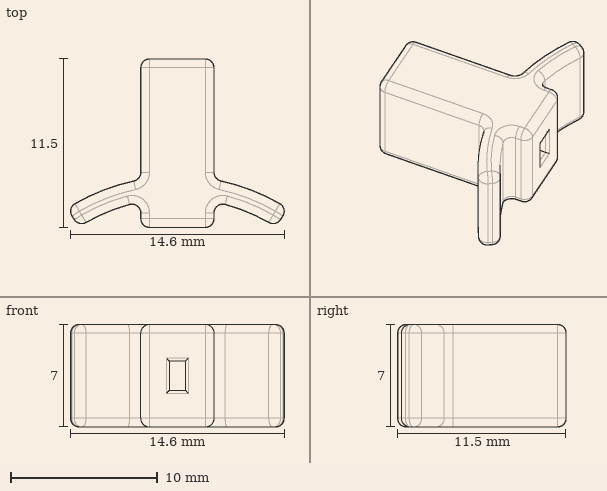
import cadquery as cq
import math

HEIGHT = 7.0
STEM_WIDTH = 5.0
STEM_LENGTH = 11.5
EDGE_RADIUS = 0.6
WING_OUTER_RADIUS = 14.0
WING_THICKNESS = 1.5
WING_CREST_Y = 3.5
WING_HALF_ANGLE = 32.5
SOCKET_WIDTH = 1.1
SOCKET_HEIGHT = 2.0
SOCKET_DEPTH = 3.0
SOCKET_RIM_RADIUS = 0.2

WING_INNER_RADIUS = WING_OUTER_RADIUS - WING_THICKNESS
WING_CENTER_Y = WING_CREST_Y - WING_OUTER_RADIUS


def wing_point(radius, angle):
    """Point on a wing arc, with the angle in degrees measured from +Y towards +X."""
    turn = math.radians(angle)
    return (radius * math.sin(turn), WING_CENTER_Y + radius * math.cos(turn))


def make_stem():
    """Straight rectangular bar running along Y."""
    return cq.Workplane("XY").box(
        STEM_WIDTH, STEM_LENGTH, HEIGHT, centered=(True, False, True)
    )


def make_wings():
    """Curved band crossing the stem, cut radially at both tips."""
    return (
        cq.Workplane("XY", origin=(0, 0, -HEIGHT / 2))
        .moveTo(*wing_point(WING_OUTER_RADIUS, -WING_HALF_ANGLE))
        .threePointArc(
            wing_point(WING_OUTER_RADIUS, 0),
            wing_point(WING_OUTER_RADIUS, WING_HALF_ANGLE),
        )
        .lineTo(*wing_point(WING_INNER_RADIUS, WING_HALF_ANGLE))
        .threePointArc(
            wing_point(WING_INNER_RADIUS, 0),
            wing_point(WING_INNER_RADIUS, -WING_HALF_ANGLE),
        )
        .close()
        .extrude(HEIGHT)
    )


def round_edges(body):
    """Round the upright edges and wing roots, then the top and bottom outlines."""
    upright_rounded = body.edges("|Z").fillet(EDGE_RADIUS)
    return upright_rounded.faces("<Z or >Z").edges().fillet(EDGE_RADIUS)


def cut_socket(body):
    """Sink a blind rectangular socket into the front face and round its rim."""
    socket = cq.Workplane("XY").box(
        SOCKET_WIDTH, SOCKET_DEPTH, SOCKET_HEIGHT, centered=(True, False, True)
    )
    rim = cq.selectors.BoxSelector(
        (-SOCKET_WIDTH, -SOCKET_RIM_RADIUS, -SOCKET_HEIGHT),
        (SOCKET_WIDTH, SOCKET_RIM_RADIUS, SOCKET_HEIGHT),
        boundingbox=True,
    )
    return body.cut(socket).edges(rim).fillet(SOCKET_RIM_RADIUS)


result = cut_socket(round_edges(make_stem().union(make_wings())))